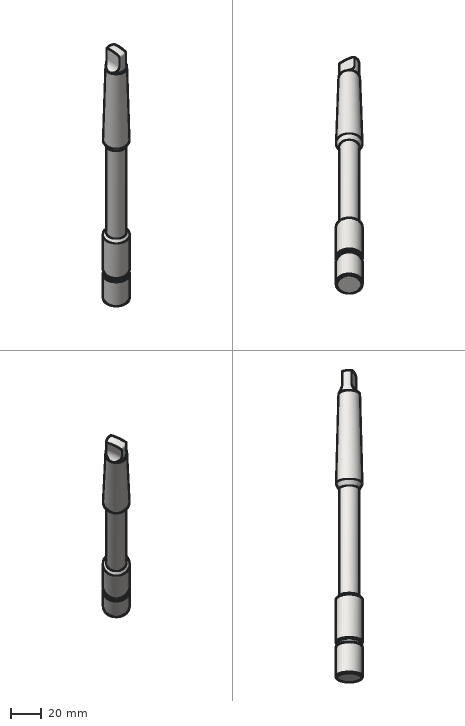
import cadquery as cq
import math

length = 219.0
body_radius = 9.0
neck_radius = 6.8

base_chamfer = 0.9
groove_depth = 0.7
groove_bottom = 22.0
groove_width = 3.7
groove_wall = 0.9
body_top = 56.0
neck_shoulder_height = body_radius - neck_radius
neck_bottom = body_top + neck_shoulder_height

neck_top = 135.1
taper_bottom = 139.0
taper_inset = 0.1
taper_bottom_radius = body_radius - taper_inset
taper_top = 203.0
taper_rate = 1 / 20
taper_top_radius = taper_bottom_radius - (taper_top - taper_bottom) * taper_rate / 2

tang_radius = 6.8
tang_thickness = 6.4
tang_flat_bottom = 209.0
runout_radius = 6.1
shoulder_height = 0.7
dome_height = 1.0
dome_radius = (tang_radius**2 + dome_height**2) / (2 * dome_height)
tang_edge_fillet = 1.3


def turned_shaft():
    """Solid of revolution for the body, neck, taper and round tang."""
    groove_radius = body_radius - groove_depth
    groove_top = groove_bottom + groove_width
    dome_middle_radius = tang_radius / 2
    dome_centre = length - dome_radius
    dome_middle = dome_centre + math.sqrt(dome_radius**2 - dome_middle_radius**2)
    return (
        cq.Workplane("XZ")
        .moveTo(0, 0)
        .lineTo(body_radius - base_chamfer, 0)
        .lineTo(body_radius, base_chamfer)
        .lineTo(body_radius, groove_bottom)
        .lineTo(groove_radius, groove_bottom + groove_wall)
        .lineTo(groove_radius, groove_top - groove_wall)
        .lineTo(body_radius, groove_top)
        .lineTo(body_radius, body_top)
        .lineTo(neck_radius, neck_bottom)
        .lineTo(neck_radius, neck_top)
        .lineTo(taper_bottom_radius, taper_bottom)
        .lineTo(taper_top_radius, taper_top)
        .lineTo(tang_radius, taper_top + shoulder_height)
        .lineTo(tang_radius, length - dome_height)
        .threePointArc((dome_middle_radius, dome_middle), (0, length))
        .close()
        .revolve(360, (0, 0, 0), (0, 1, 0))
    )


def round_tang_edge(shaft):
    """Fillet the circular edge where the dome meets the tang."""
    rim_height = length - dome_height
    rim_margin = 0.2
    rim = cq.selectors.BoxSelector(
        (-body_radius, -body_radius, rim_height - rim_margin),
        (body_radius, body_radius, rim_height + rim_margin),
        boundingbox=True,
    )
    return shaft.edges(rim).fillet(tang_edge_fillet)


def tang_side_cut():
    """Material removed beside the +Y flat, including its curved run-out."""
    flat = tang_thickness / 2
    run_out_middle = runout_radius * math.sqrt(0.5)
    half_cut_width = body_radius
    return (
        cq.Workplane("YZ")
        .moveTo(flat, length)
        .lineTo(flat, tang_flat_bottom)
        .threePointArc(
            (flat + runout_radius - run_out_middle, tang_flat_bottom - run_out_middle),
            (flat + runout_radius, tang_flat_bottom - runout_radius),
        )
        .lineTo(flat + runout_radius, length)
        .close()
        .extrude(half_cut_width, both=True)
    )


side_cut = tang_side_cut()
result = round_tang_edge(turned_shaft()).cut(side_cut).cut(side_cut.mirror("XZ"))